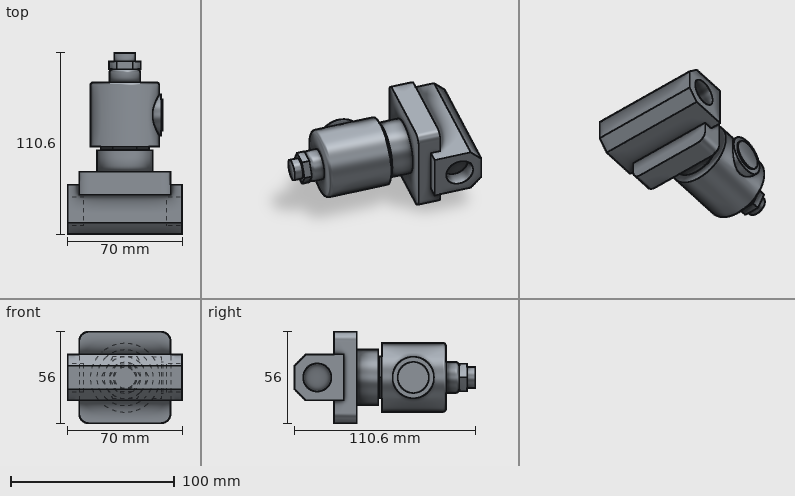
import cadquery as cq
import math


block_length = 70.0
block_height = 28.1
block_back = 30.2
block_chamfer = 7.0
port_diameter = 17.3
port_depth = 9.6
port_y = 14.0

flange_size = 56.0
flange_thickness = 14.0
flange_back = 38.2
flange_corner_radius = 6.0

bonnet_diameter = 34.3
bonnet_back = 51.3
bonnet_hex_flats = 25.7
collar_back = 51.8

coil_diameter = 42.2
coil_front = 53.4
coil_back = 92.7
coil_edge_radius = 2.0

boss_diameter = 25.3
boss_end_x = 22.1
boss_y = 72.7
boss_disc_diameter = 19.0
boss_disc_end_x = 23.0

neck_diameter = 19.0
neck_back = 100.8
neck_edge_radius = 2.3
nut_flats = 16.9
nut_back = 105.5
stud_diameter = 12.9
stud_back = 110.6


def across_x(x):
    """Plane facing +X, with local axes Y and Z."""
    return cq.Workplane("YZ", origin=(x, 0, 0))


def along_y(y):
    """Plane facing +Y, centred on the valve axis."""
    return cq.Workplane("ZX", origin=(0, y, 0))


def disc(diameter, start, end):
    return along_y(start).circle(diameter / 2).extrude(end - start)


def hexagon(flats, start, end):
    """Hexagonal prism with two corners on the X axis."""
    corner_diameter = flats / math.cos(math.pi / 6)
    prism = along_y(start).transformed(rotate=(0, 0, 90)).polygon(6, corner_diameter)
    return prism.extrude(end - start)


def make_block():
    block = across_x(-block_length / 2).center(block_back / 2, 0)
    block = block.rect(block_back, block_height).extrude(block_length)
    return block.faces("<Y").edges("|X").chamfer(block_chamfer)


def make_port(side):
    """Blind port bore entering from the end at side * X."""
    port = across_x(side * block_length / 2).center(port_y, 0)
    return port.circle(port_diameter / 2).extrude(-side * port_depth)


def make_flange():
    flange = along_y(flange_back - flange_thickness)
    flange = flange.rect(flange_size, flange_size).extrude(flange_thickness)
    return flange.edges("|Y").fillet(flange_corner_radius)


def make_valve():
    valve = make_block().union(make_flange())
    valve = valve.union(disc(bonnet_diameter, flange_back, bonnet_back))
    valve = valve.union(disc(bonnet_hex_flats, bonnet_back, collar_back))
    valve = valve.union(hexagon(bonnet_hex_flats, collar_back, coil_front))
    for side in (-1, 1):
        valve = valve.cut(make_port(side))
    return valve


def make_boss():
    boss = across_x(0).center(boss_y, 0).circle(boss_diameter / 2).extrude(boss_end_x)
    end_disc = across_x(boss_end_x).center(boss_y, 0).circle(boss_disc_diameter / 2)
    return boss.union(end_disc.extrude(boss_disc_end_x - boss_end_x))


def make_coil():
    coil = disc(coil_diameter, coil_front, coil_back)
    coil = coil.faces(">Y").edges().fillet(coil_edge_radius)
    neck = disc(neck_diameter, coil_back, neck_back)
    neck = neck.faces(">Y").edges().fillet(neck_edge_radius)
    coil = coil.union(make_boss()).union(neck)
    coil = coil.union(hexagon(nut_flats, neck_back, nut_back))
    return coil.union(disc(stud_diameter, nut_back, stud_back))


valve = make_valve()
coil = make_coil()

result = cq.Compound.makeCompound([valve.val(), coil.val()])